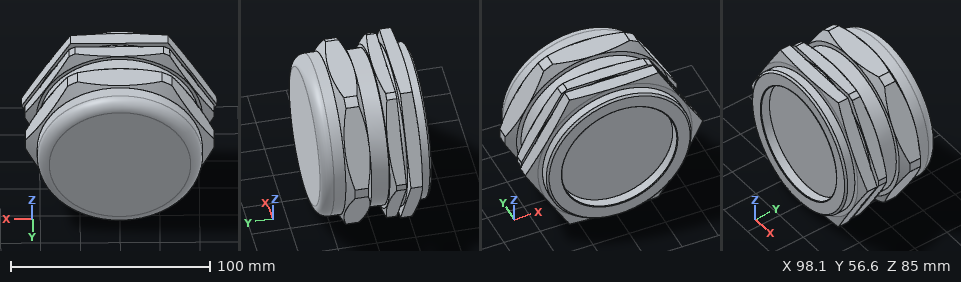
import cadquery as cq
import math

OVERALL_LENGTH = 56.56

BODY_DIAMETER = 80.0
FRONT_FACE_DIAMETER = 77.8
FRONT_CHAMFER = (BODY_DIAMETER - FRONT_FACE_DIAMETER) / 2

RECESS_DIAMETER = 63.5
RECESS_DEPTH = 5.4
RECESS_CHAMFER = 0.4

LOCKNUT_FRONT = 5.6
LOCKNUT_THICKNESS = 7.2
LOCKNUT_FLATS = 85.0
LOCKNUT_BEVEL_ANGLE = 10.0

SEAL_DIAMETER = 84.0
SEAL_THICKNESS = 2.0

BODY_HEX_THICKNESS = 7.2
BODY_HEX_FLATS = 84.0
BODY_HEX_BACK_DIAMETER = 83.5
BODY_HEX_BEVEL_ANGLE = 20.0

CAP_HEX_FRONT = 31.5
CAP_HEX_THICKNESS = 13.1
CAP_HEX_FLATS = 85.0
CAP_HEX_BEVEL_ANGLE = 30.0

TURNED_CORNER_DIAMETER = 95.0

CAP_DIAMETER = 83.0
CAP_ROUNDING = 6.0

SEAL_FRONT = LOCKNUT_FRONT + LOCKNUT_THICKNESS
BODY_HEX_FRONT = SEAL_FRONT + SEAL_THICKNESS
CAP_FRONT = CAP_HEX_FRONT + CAP_HEX_THICKNESS


def across_corners(flats):
    return flats / math.cos(math.radians(30))


def disc(diameter, start, length):
    """Cylinder on the Y axis from station start towards +Y."""
    return cq.Workplane("XZ", origin=(0, start, 0)).circle(diameter / 2).extrude(-length)


def bevel_depth(corner_diameter, face_diameter, angle):
    """Axial depth of a conical bevel; angle is measured from the end face."""
    return (corner_diameter - face_diameter) / 2 * math.tan(math.radians(angle))


def hexagon(flats, start, thickness, corner_diameter, front_face=None, back_face=None, angle=0.0):
    """Hexagon with flats facing +Z and -Z, trimmed by a turned envelope.

    front_face and back_face are the bevel circle diameters on the end faces;
    an end without one stays square.
    """
    prism = (
        cq.Workplane("XZ", origin=(0, start, 0))
        .polygon(6, across_corners(flats))
        .extrude(-thickness)
    )
    end = start + thickness
    front_diameter = front_face or corner_diameter
    back_diameter = back_face or corner_diameter
    outline = [(0, start), (front_diameter / 2, start)]
    if front_face:
        depth = bevel_depth(corner_diameter, front_face, angle)
        outline.append((corner_diameter / 2, start + depth))
    if back_face:
        depth = bevel_depth(corner_diameter, back_face, angle)
        outline.append((corner_diameter / 2, end - depth))
    outline += [(back_diameter / 2, end), (0, end)]
    envelope = cq.Workplane("XY").polyline(outline).close().revolve(360, (0, 0, 0), (0, 1, 0))
    return prism.intersect(envelope)


def threaded_body():
    return disc(BODY_DIAMETER, 0, CAP_FRONT).faces("<Y").chamfer(FRONT_CHAMFER)


def locknut():
    return hexagon(
        LOCKNUT_FLATS,
        LOCKNUT_FRONT,
        LOCKNUT_THICKNESS,
        across_corners(LOCKNUT_FLATS),
        front_face=LOCKNUT_FLATS,
        angle=LOCKNUT_BEVEL_ANGLE,
    )


def sealing_ring():
    """Ring with a half-round rim filling the gap between locknut and body hexagon."""
    rim_radius = SEAL_THICKNESS / 2
    outer_radius = SEAL_DIAMETER / 2
    shoulder_radius = outer_radius - rim_radius
    profile = (
        cq.Workplane("XY")
        .moveTo(0, SEAL_FRONT)
        .lineTo(shoulder_radius, SEAL_FRONT)
        .threePointArc((outer_radius, SEAL_FRONT + rim_radius), (shoulder_radius, BODY_HEX_FRONT))
        .lineTo(0, BODY_HEX_FRONT)
        .close()
    )
    return profile.revolve(360, (0, 0, 0), (0, 1, 0))


def body_hexagon():
    return hexagon(
        BODY_HEX_FLATS,
        BODY_HEX_FRONT,
        BODY_HEX_THICKNESS,
        TURNED_CORNER_DIAMETER,
        back_face=BODY_HEX_BACK_DIAMETER,
        angle=BODY_HEX_BEVEL_ANGLE,
    )


def cap_hexagon():
    return hexagon(
        CAP_HEX_FLATS,
        CAP_HEX_FRONT,
        CAP_HEX_THICKNESS,
        TURNED_CORNER_DIAMETER,
        front_face=CAP_HEX_FLATS,
        back_face=CAP_DIAMETER,
        angle=CAP_HEX_BEVEL_ANGLE,
    )


def rounded_cap():
    cap = disc(CAP_DIAMETER, CAP_FRONT, OVERALL_LENGTH - CAP_FRONT)
    return cap.faces(">Y").edges().fillet(CAP_ROUNDING)


def cut_recess(part):
    part = part.cut(disc(RECESS_DIAMETER, 0, RECESS_DEPTH))
    mouth_edge = cq.selectors.RadiusNthSelector(0)
    return part.faces("<Y").edges(mouth_edge).chamfer(RECESS_CHAMFER)


gland = threaded_body()
for section in (locknut(), sealing_ring(), body_hexagon(), cap_hexagon(), rounded_cap()):
    gland = gland.union(section)

result = cut_recess(gland)